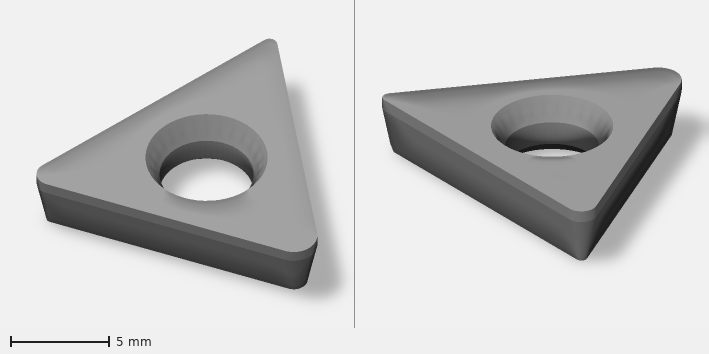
import cadquery as cq
import math

length = 15.03
thickness = 3.19
rim_height = 0.63
relief_angle = 11.0

tip_radius = 0.4
left_radius = 0.8
right_radius = 1.2
corners = [(90, tip_radius), (210, left_radius), (330, right_radius)]
nose_half_angle = 60

bore_diameter = 4.78
sink_diameter = 6.2
top_sink_depth = 1.2
base_sink_depth = 0.72

corner_loss = (math.sqrt(3) - 1) * (left_radius + right_radius)
inscribed_radius = (length + corner_loss) / (2 * math.sqrt(3))
relief_slope = math.tan(math.radians(relief_angle))
rim_bottom = thickness - rim_height
base_inset = rim_bottom * relief_slope


def polar(distance, angle):
    return (
        distance * math.cos(math.radians(angle)),
        distance * math.sin(math.radians(angle)),
    )


def triangle(inradius, z):
    """Sharp equilateral triangle around the Z axis."""
    points = [polar(2 * inradius, angle) for angle, _ in corners]
    return cq.Workplane("XY").workplane(offset=z).polyline(points).close()


def round_corner(body, angle, radius):
    """Replace a sharp corner by a nose that is cylindrical at the rim and conical below it."""
    reach = 2 * inscribed_radius
    center_x, center_y = polar(reach - 2 * radius, angle)
    tangents = []
    for normal in (angle - nose_half_angle, angle + nose_half_angle):
        dx, dy = polar(radius, normal)
        tangents.append((center_x + dx, center_y + dy))

    cone_height = min(rim_bottom, radius / relief_slope)
    cone_bottom = rim_bottom - cone_height
    outline = [(center_x, center_y), tangents[0], polar(reach, angle), tangents[1]]
    sharp_corner = (
        cq.Workplane("XY")
        .workplane(offset=cone_bottom)
        .polyline(outline)
        .close()
        .extrude(thickness - cone_bottom)
    )
    profile = [
        (0, cone_bottom),
        (radius - cone_height * relief_slope, cone_bottom),
        (radius, rim_bottom),
        (radius, thickness),
        (0, thickness),
    ]
    if cone_bottom > 0:
        profile.pop(1)
    nose = (
        cq.Workplane("XZ")
        .polyline(profile)
        .close()
        .revolve(2 * nose_half_angle, (0, 0), (0, -1))
        .rotate((0, 0, 0), (0, 0, 1), angle + nose_half_angle)
        .translate((center_x, center_y, 0))
    )
    return body.cut(sharp_corner).union(nose)


rim = triangle(inscribed_radius, rim_bottom).extrude(rim_height)
upper_points = [polar(2 * inscribed_radius, angle) for angle, _ in corners]
body = (
    triangle(inscribed_radius - base_inset, 0)
    .workplane(offset=rim_bottom)
    .polyline(upper_points)
    .close()
    .loft(ruled=True)
)
result = rim.union(body)

for corner_angle, corner_radius in corners:
    result = round_corner(result, corner_angle, corner_radius)

hole_profile = [
    (0, 0),
    (sink_diameter / 2, 0),
    (bore_diameter / 2, base_sink_depth),
    (bore_diameter / 2, thickness - top_sink_depth),
    (sink_diameter / 2, thickness),
    (0, thickness),
]
hole = cq.Workplane("XZ").polyline(hole_profile).close().revolve(360, (0, 0), (0, 1))
result = result.cut(hole)